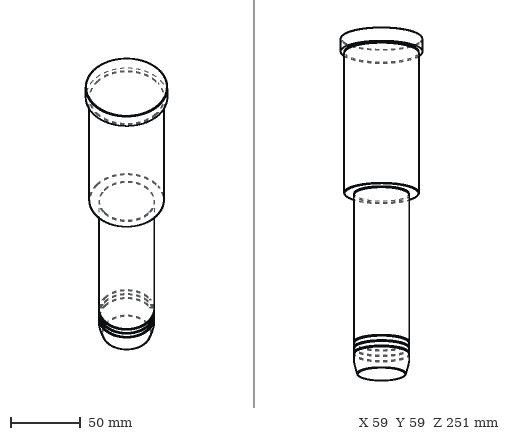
import cadquery as cq

total_length = 251.0
head_height = 10.0
body_length = 106.0
nose_height = 10.0

head_radius = 59.0 / 2
body_radius = 54.0 / 2
pin_radius = 40.0 / 2
nose_tip_radius = 35.1 / 2
nose_bulge = 0.3

edge_chamfer = 0.5

relief_width = 1.0
relief_depth = 0.3

groove_count = 3
groove_width = 1.0
groove_depth = 0.5
groove_pitch = 4.0
lowest_groove_base = 15.0

head_base = total_length - head_height
body_base = head_base - body_length


def stepped_pin():
    """Solid of revolution: rounded nose, pin, body and head."""
    nose_middle_radius = (pin_radius + nose_tip_radius) / 2 + nose_bulge
    nose_middle_height = (nose_height + edge_chamfer) / 2
    profile = (
        cq.Workplane("XZ")
        .lineTo(nose_tip_radius - edge_chamfer, 0)
        .lineTo(nose_tip_radius, edge_chamfer)
        .threePointArc((nose_middle_radius, nose_middle_height), (pin_radius, nose_height))
        .lineTo(pin_radius, body_base - relief_width)
        .lineTo(pin_radius - relief_depth, body_base - relief_width)
        .lineTo(pin_radius - relief_depth, body_base)
        .lineTo(body_radius - edge_chamfer, body_base)
        .lineTo(body_radius, body_base + edge_chamfer)
        .lineTo(body_radius, head_base - relief_width)
        .lineTo(body_radius - relief_depth, head_base - relief_width)
        .lineTo(body_radius - relief_depth, head_base)
        .lineTo(head_radius, head_base)
        .lineTo(head_radius, total_length - edge_chamfer)
        .lineTo(head_radius - edge_chamfer, total_length)
        .lineTo(0, total_length)
        .close()
    )
    return profile.revolve(360, (0, 0, 0), (0, 1, 0))


def ring_groove(base):
    """Ring of triangular section to remove from the pin, its lower rim at height base."""
    section = (
        cq.Workplane("XZ")
        .moveTo(pin_radius, base)
        .lineTo(pin_radius - groove_depth, base + groove_width / 2)
        .lineTo(pin_radius, base + groove_width)
        .close()
    )
    return section.revolve(360, (0, 0, 0), (0, 1, 0))


result = stepped_pin()
for index in range(groove_count):
    result = result.cut(ring_groove(lowest_groove_base + index * groove_pitch))